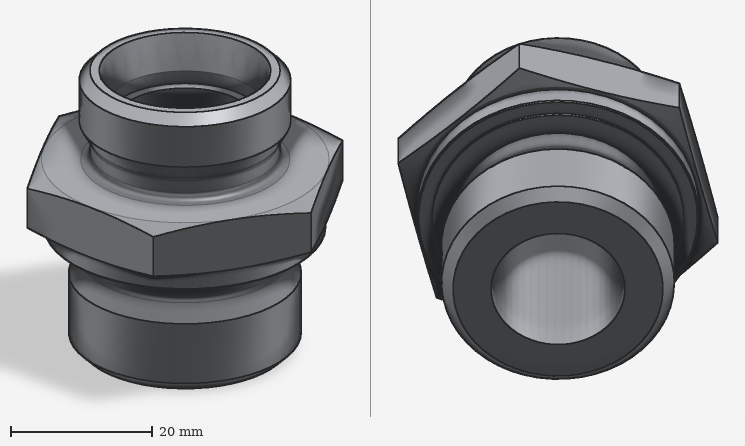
import cadquery as cq
import math

total_height = 43.0
hex_bottom = 21.0
hex_top = 28.95
flange_bottom = 18.1

hex_across_corners = 47.35
hex_chamfer_diameter = 40.8
hex_chamfer_angle = 15.0

flange_diameter = 39.9
flange_chamfer = 0.2

upper_diameter = 30.0
upper_chamfer = 1.5
upper_crest_bottom = 35.1
upper_neck_diameter = 27.0
upper_taper_blend = 1.0
shoulder_fillet = 1.33
lower_diameter = 33.0
lower_chamfer = 1.6
lower_crest_top = 11.05
lower_neck_diameter = 29.6
lower_taper_blend = 1.35
taper_angle = 30.0

bore_diameter = 19.0
socket_diameter = 22.0
socket_depth = 7.5
mouth_diameter = 24.35
mouth_half_angle = 12.0

seal_diameter = 35.7
seal_recess_depth = 1.5
seal_protrusion = 0.45


def cylinder(diameter, bottom, top):
    return cq.Workplane("XY").workplane(offset=bottom).circle(diameter / 2).extrude(top - bottom)


def make_threaded_end(diameter, neck_diameter, crest_length, neck_end, chamfer, blend):
    """Revolved end starting at Z = 0, with its neck reaching up to neck_end."""
    radius = diameter / 2
    neck_radius = neck_diameter / 2
    taper_end = crest_length + (radius - neck_radius) / math.tan(math.radians(taper_angle))
    tangent = blend * math.tan(math.radians(taper_angle / 2))
    half_turn = math.radians(taper_angle / 2)
    blend_center = (neck_radius + blend, taper_end + tangent)
    blend_start = (
        neck_radius + tangent * math.sin(math.radians(taper_angle)),
        taper_end - tangent * math.cos(math.radians(taper_angle)),
    )
    blend_middle = (
        blend_center[0] - blend * math.cos(half_turn),
        blend_center[1] - blend * math.sin(half_turn),
    )
    blend_end = (neck_radius, taper_end + tangent)
    return (
        cq.Workplane("XZ")
        .lineTo(radius - chamfer, 0)
        .lineTo(radius, chamfer)
        .lineTo(radius, crest_length)
        .lineTo(*blend_start)
        .threePointArc(blend_middle, blend_end)
        .lineTo(neck_radius, neck_end)
        .lineTo(0, neck_end)
        .close()
        .revolve(360, (0, 0, 0), (0, 1, 0))
    )


def make_hexagon():
    """Hexagonal prism with its corners turned off by a cone at both ends."""
    prism = (
        cq.Workplane("XY")
        .workplane(offset=hex_bottom)
        .polygon(6, hex_across_corners)
        .extrude(hex_top - hex_bottom)
        .rotate((0, 0, 0), (0, 0, 1), 30)
    )
    corner_radius = hex_across_corners / 2
    flat_radius = hex_chamfer_diameter / 2
    drop = (corner_radius - flat_radius) * math.tan(math.radians(hex_chamfer_angle))
    turned_envelope = (
        cq.Workplane("XZ")
        .moveTo(0, hex_bottom)
        .lineTo(flat_radius, hex_bottom)
        .lineTo(corner_radius, hex_bottom + drop)
        .lineTo(corner_radius, hex_top - drop)
        .lineTo(flat_radius, hex_top)
        .lineTo(0, hex_top)
        .close()
        .revolve(360, (0, 0, 0), (0, 1, 0))
    )
    return prism.intersect(turned_envelope)


def make_shoulder():
    """Concave fillet from the upper neck out to the top of the hexagon."""
    neck_radius = upper_neck_diameter / 2
    outer_radius = neck_radius + shoulder_fillet
    arc_offset = shoulder_fillet * math.sqrt(0.5)
    arc_middle = (outer_radius - arc_offset, hex_top + shoulder_fillet - arc_offset)
    return (
        cq.Workplane("XZ")
        .moveTo(0, hex_top)
        .lineTo(outer_radius, hex_top)
        .threePointArc(arc_middle, (neck_radius, hex_top + shoulder_fillet))
        .lineTo(0, hex_top + shoulder_fillet)
        .close()
        .revolve(360, (0, 0, 0), (0, 1, 0))
    )


def make_flow_passage():
    """Through bore that widens into the tube socket and its conical mouth."""
    bore_radius = bore_diameter / 2
    socket_radius = socket_diameter / 2
    mouth_radius = mouth_diameter / 2
    socket_floor = total_height - socket_depth
    mouth_depth = (mouth_radius - socket_radius) / math.tan(math.radians(mouth_half_angle))
    return (
        cq.Workplane("XZ")
        .lineTo(bore_radius, 0)
        .lineTo(bore_radius, socket_floor)
        .lineTo(socket_radius, socket_floor)
        .lineTo(socket_radius, total_height - mouth_depth)
        .lineTo(mouth_radius, total_height)
        .lineTo(0, total_height)
        .close()
        .revolve(360, (0, 0, 0), (0, 1, 0))
    )


def make_seal():
    """Flat ring around the lower neck that stands slightly proud of the flange."""
    bottom = flange_bottom - seal_protrusion
    top = flange_bottom + seal_recess_depth
    return cylinder(seal_diameter, bottom, top).cut(cylinder(lower_neck_diameter, bottom, top))


def make_fitting(seal):
    """Screw fitting with a matching recess for the seal."""
    lower_end = make_threaded_end(
        lower_diameter, lower_neck_diameter, lower_crest_top, hex_bottom, lower_chamfer, lower_taper_blend
    )
    upper_end = make_threaded_end(
        upper_diameter,
        upper_neck_diameter,
        total_height - upper_crest_bottom,
        total_height - hex_top,
        upper_chamfer,
        upper_taper_blend,
    )
    upper_end = upper_end.rotate((0, 0, 0), (1, 0, 0), 180).translate((0, 0, total_height))
    flange = cylinder(flange_diameter, flange_bottom, hex_bottom).faces("<Z").edges().chamfer(flange_chamfer)
    body = make_hexagon().union(flange).union(lower_end).union(upper_end).union(make_shoulder())
    return body.cut(make_flow_passage()).cut(seal)


seal_ring = make_seal()
fitting = make_fitting(seal_ring)
result = cq.Compound.makeCompound([fitting.solids().val(), seal_ring.val()])